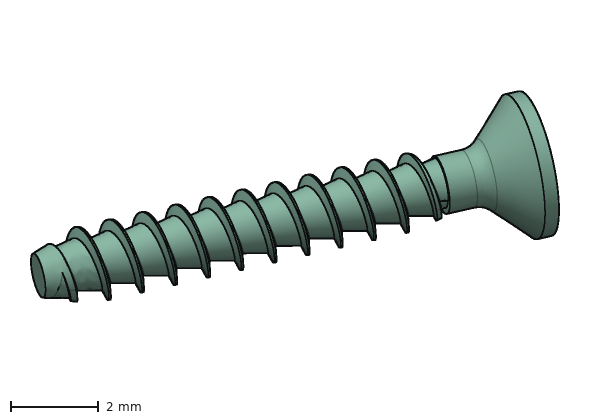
import cadquery as cq


length = 12.0
head_radius = 1.7
head_rim = 0.34
cone_end_depth = 1.21
cone_end_radius = 0.85

shank_radius = 0.68
shank_start = 1.63
shank_end = 2.29

pitch = 0.8
crest_radius = 0.9
crest_width = 0.05
root_width = 0.22
core_small_radius = 0.54
core_large_radius = 0.66
tip_radius = 0.52
margin = 0.1
buried_radius = core_small_radius - margin
turn_gap = 0.005
overlap = 0.003
clear_radius = crest_radius + margin
thread_turns = 13
thread_start = 1.8

run_in_start = 2.2
run_in_end = 3.0
run_out_start = 10.9


def make_head_and_shank():
    """Flat-topped countersunk head, curved neck and plain shank."""
    return (
        cq.Workplane("XZ")
        .moveTo(0, 0)
        .lineTo(head_radius, 0)
        .lineTo(head_radius, head_rim)
        .lineTo(cone_end_radius, cone_end_depth)
        .tangentArcPoint((shank_radius, shank_start), relative=False)
        .lineTo(shank_radius, shank_end)
        .lineTo(0, shank_end)
        .close()
        .revolve(360, (0, 0), (0, 1))
    )


def make_ridge():
    """Helical ridge: the sharp thread followed by the tapering core up to the next turn."""
    root_half = root_width / 2
    crest_half = crest_width / 2
    ramp_end = pitch - root_half - turn_gap
    profile = [
        (buried_radius, -root_half),
        (core_small_radius, -root_half),
        (crest_radius, -crest_half),
        (crest_radius, crest_half),
        (core_large_radius, root_half),
        (core_small_radius - overlap, ramp_end),
        (buried_radius, ramp_end),
    ]
    helix = cq.Wire.makeHelix(pitch, thread_turns * pitch, crest_radius)
    ridge = cq.Workplane("XZ").polyline(profile).close().sweep(cq.Workplane(helix), isFrenet=True)
    return ridge.translate((0, 0, thread_start))


def make_envelope():
    """Turned limit of the ridge: the crest rises from the shank and fades at the tip."""
    return (
        cq.Workplane("XZ")
        .moveTo(0, run_in_start)
        .lineTo(shank_radius, run_in_start)
        .lineTo(crest_radius, run_in_end)
        .lineTo(clear_radius, run_in_end)
        .lineTo(clear_radius, run_out_start)
        .lineTo(crest_radius, run_out_start)
        .lineTo(tip_radius, length)
        .lineTo(0, length)
        .close()
        .revolve(360, (0, 0), (0, 1))
    )


def make_threaded_rod():
    """Core with its ridge, trimmed to the run-in, the run-out and the flat tip."""
    core = (
        cq.Workplane("XY", origin=(0, 0, shank_start))
        .circle(core_small_radius)
        .extrude(thread_turns * pitch + pitch)
    )
    return core.union(make_ridge()).intersect(make_envelope())


screw = make_head_and_shank().union(make_threaded_rod())
result = screw.rotate((0, 0, 0), (1, 0, 0), 90)